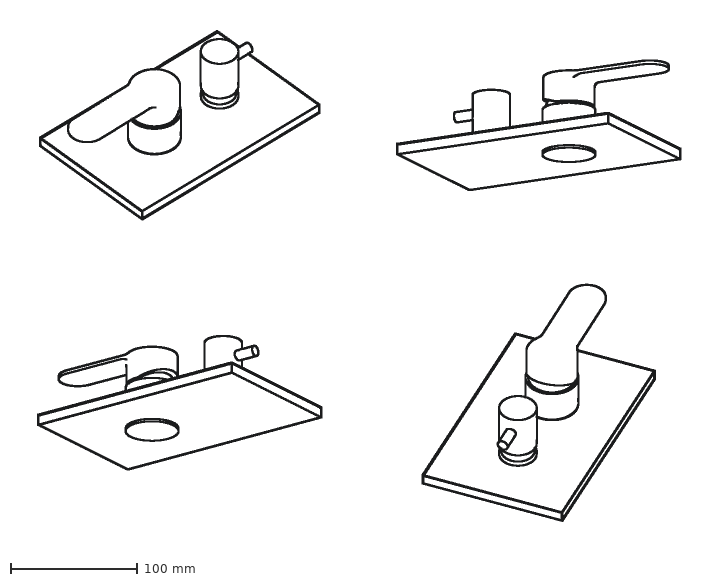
import cadquery as cq
import math


PLATE_WIDTH = 120.0
PLATE_LENGTH = 190.0
PLATE_THICKNESS = 8.6
COVER_WALL = 0.6
PLATE_BACK_Y = 122.2

SLEEVE_RADIUS = 21.0
SLEEVE_BOTTOM_Z = -2.0
SLEEVE_TOP_Z = 34.9
CARTRIDGE_RADIUS = 19.0
CARTRIDGE_HEIGHT = 9.0
CARTRIDGE_ARC_RADIUS = 11.5

LEVER_TOP_Z = 62.0
LEVER_TURN = 0.4
HEAD_RADIUS = 20.4
HEAD_GAP = 2.0
HEAD_RELIEF_START_Y = 1.0
HEAD_RELIEF_RISE = 7.4
PADDLE_REACH = 87.8
PADDLE_HALF_WIDTH = 15.1
PADDLE_EDGE_THICKNESS = 3.2
PADDLE_CROWN = 1.9
PADDLE_NECK_RADIUS = 9.5
PADDLE_ROOT_FILLET = 4.8
LEVER_TOP_ROUND = 0.6

DIVERTER_Y = 70.0
BONNET_GAP = 1.0
BONNET_FLANGE_RADIUS = 15.0
BONNET_FLANGE_HEIGHT = 3.0
BONNET_FLANGE_ROUND = 0.6
BONNET_NECK_RADIUS = 13.2
KNOB_RADIUS = 15.0
KNOB_BOTTOM_Z = 20.4
KNOB_TOP_Z = 56.7
PIN_RADIUS = 4.2
PIN_Z = 42.5
PIN_REACH = 31.5

HEAD_BOTTOM_Z = SLEEVE_TOP_Z + HEAD_GAP
PADDLE_THICKNESS = PADDLE_EDGE_THICKNESS + PADDLE_CROWN
PADDLE_TIP_CENTER_Y = PADDLE_HALF_WIDTH - PADDLE_REACH
BONNET_BOTTOM_Z = PLATE_THICKNESS + BONNET_GAP

NECK_CENTER_X = PADDLE_HALF_WIDTH + PADDLE_NECK_RADIUS
NECK_CENTER_Y = -math.sqrt((HEAD_RADIUS + PADDLE_NECK_RADIUS) ** 2 - NECK_CENTER_X**2)
NECK_ANGLE = math.atan2(NECK_CENTER_Y, NECK_CENTER_X)
NECK_START_X = HEAD_RADIUS * math.cos(NECK_ANGLE)
NECK_START_Y = HEAD_RADIUS * math.sin(NECK_ANGLE)


def cylinder(radius, bottom_z, top_z, center_y=0):
    """Upright cylinder centred on x = 0."""
    return (
        cq.Workplane("XY", origin=(0, center_y, bottom_z))
        .circle(radius)
        .extrude(top_z - bottom_z)
    )


def make_sleeve():
    return cylinder(SLEEVE_RADIUS, SLEEVE_BOTTOM_Z, SLEEVE_TOP_Z)


def plate_block(width, thickness):
    """Full-length block on z = 0, centred on x = 0."""
    return (
        cq.Workplane("XY")
        .center(0, PLATE_BACK_Y - PLATE_LENGTH / 2)
        .rect(width, PLATE_LENGTH)
        .extrude(thickness)
    )


def make_core(sleeve):
    """Core of the plate, pierced by the sleeve."""
    block = plate_block(PLATE_WIDTH - 2 * COVER_WALL, PLATE_THICKNESS - COVER_WALL)
    return block.cut(sleeve)


def make_cover(core, sleeve):
    """Thin channel over the top and the two long sides of the core."""
    return plate_block(PLATE_WIDTH, PLATE_THICKNESS).cut(core).cut(sleeve)


def make_cartridge():
    """Cartridge with a rounded side and a flat top, standing on the sleeve."""
    top_z = SLEEVE_TOP_Z + CARTRIDGE_HEIGHT
    arc_center_x = CARTRIDGE_RADIUS - CARTRIDGE_ARC_RADIUS
    arc_angle = math.asin(CARTRIDGE_HEIGHT / CARTRIDGE_ARC_RADIUS)
    middle_x = arc_center_x + CARTRIDGE_ARC_RADIUS * math.cos(arc_angle / 2)
    middle_z = SLEEVE_TOP_Z + CARTRIDGE_ARC_RADIUS * math.sin(arc_angle / 2)
    top_x = arc_center_x + CARTRIDGE_ARC_RADIUS * math.cos(arc_angle)
    return (
        cq.Workplane("XZ")
        .moveTo(0, SLEEVE_TOP_Z)
        .lineTo(CARTRIDGE_RADIUS, SLEEVE_TOP_Z)
        .threePointArc((middle_x, middle_z), (top_x, top_z))
        .lineTo(0, top_z)
        .close()
        .revolve(360, (0, 0, 0), (0, 1, 0))
    )


def make_lever_outline():
    """Upright prism of the head circle and the paddle, joined by concave arcs."""
    middle_angle = NECK_ANGLE / 2 + math.pi
    middle_x = NECK_CENTER_X + PADDLE_NECK_RADIUS * math.cos(middle_angle)
    middle_y = NECK_CENTER_Y + PADDLE_NECK_RADIUS * math.sin(middle_angle)

    paddle = (
        cq.Workplane("XY", origin=(0, 0, HEAD_BOTTOM_Z))
        .moveTo(NECK_START_X, NECK_START_Y)
        .threePointArc((middle_x, middle_y), (PADDLE_HALF_WIDTH, NECK_CENTER_Y))
        .lineTo(PADDLE_HALF_WIDTH, PADDLE_TIP_CENTER_Y)
        .threePointArc((0, -PADDLE_REACH), (-PADDLE_HALF_WIDTH, PADDLE_TIP_CENTER_Y))
        .lineTo(-PADDLE_HALF_WIDTH, NECK_CENTER_Y)
        .threePointArc((-middle_x, middle_y), (-NECK_START_X, NECK_START_Y))
        .close()
        .extrude(LEVER_TOP_Z - HEAD_BOTTOM_Z)
    )
    return cylinder(HEAD_RADIUS, HEAD_BOTTOM_Z, LEVER_TOP_Z).union(paddle)


def make_crowned_slab():
    """Wide slab whose underside is crowned across its width and domed at the tip."""
    crown_radius = (PADDLE_HALF_WIDTH**2 + PADDLE_CROWN**2) / (2 * PADDLE_CROWN)
    crown_center = (0, PADDLE_TIP_CENTER_Y, LEVER_TOP_Z - PADDLE_THICKNESS + crown_radius)

    slab = (
        cq.Workplane("XY", origin=(0, -PADDLE_REACH / 2, LEVER_TOP_Z - PADDLE_THICKNESS))
        .rect(2 * NECK_START_X, PADDLE_REACH)
        .extrude(PADDLE_THICKNESS)
    )
    crown = (
        cq.Workplane("XZ", origin=crown_center)
        .circle(crown_radius)
        .extrude(PADDLE_TIP_CENTER_Y)
    )
    dome = cq.Workplane("XY", origin=crown_center).sphere(crown_radius)
    return slab.intersect(crown.union(dome))


def make_head_relief():
    """Wedge under the back of the head that lets the lever tip backward."""
    slope = HEAD_RELIEF_RISE / (HEAD_RADIUS - HEAD_RELIEF_START_Y)
    end_y = HEAD_RADIUS + HEAD_GAP
    end_z = HEAD_BOTTOM_Z + slope * (end_y - HEAD_RELIEF_START_Y)
    return (
        cq.Workplane("YZ")
        .moveTo(HEAD_RELIEF_START_Y, HEAD_BOTTOM_Z)
        .lineTo(end_y, HEAD_BOTTOM_Z)
        .lineTo(end_y, end_z)
        .close()
        .extrude(HEAD_RADIUS, both=True)
    )


def make_lever(cartridge):
    """Head and paddle in one piece, hollowed for the cartridge."""
    lever = cylinder(HEAD_RADIUS, HEAD_BOTTOM_Z, LEVER_TOP_Z).union(make_crowned_slab())
    root = (0, -HEAD_RADIUS, LEVER_TOP_Z - PADDLE_THICKNESS)
    lever = lever.edges(cq.selectors.NearestToPointSelector(root)).fillet(PADDLE_ROOT_FILLET)
    lever = lever.intersect(make_lever_outline())

    lever = lever.faces(">Z").edges().fillet(LEVER_TOP_ROUND)
    lever = lever.cut(make_head_relief()).cut(cartridge)
    return lever.rotate((0, 0, 0), (0, 0, 1), LEVER_TURN)


def make_bonnet():
    """Flange with a neck that carries the diverter knob."""
    flange_top_z = BONNET_BOTTOM_Z + BONNET_FLANGE_HEIGHT
    flange = cylinder(BONNET_FLANGE_RADIUS, BONNET_BOTTOM_Z, flange_top_z, DIVERTER_Y)
    flange = flange.faces(">Z").edges().fillet(BONNET_FLANGE_ROUND)
    return flange.union(cylinder(BONNET_NECK_RADIUS, BONNET_BOTTOM_Z, KNOB_BOTTOM_Z, DIVERTER_Y))


def make_knob():
    """Round knob with a pin pointing toward +Y."""
    pin = (
        cq.Workplane("XZ", origin=(0, DIVERTER_Y, PIN_Z))
        .circle(PIN_RADIUS)
        .extrude(-PIN_REACH)
    )
    return cylinder(KNOB_RADIUS, KNOB_BOTTOM_Z, KNOB_TOP_Z, DIVERTER_Y).union(pin)


sleeve = make_sleeve()
core = make_core(sleeve)
cover = make_cover(core, sleeve)
cartridge = make_cartridge()
lever = make_lever(cartridge)
bonnet = make_bonnet()
knob = make_knob()

result = cq.Compound.makeCompound(
    [
        core.val(),
        cover.val(),
        sleeve.val(),
        cartridge.val(),
        lever.val(),
        bonnet.val(),
        knob.val(),
    ]
)